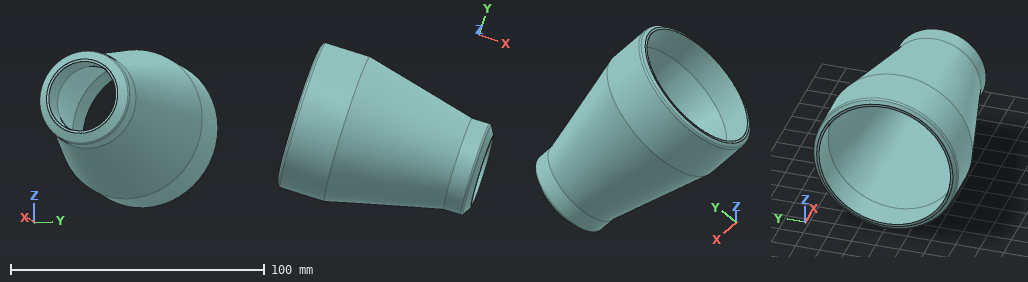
import cadquery as cq
import math

length = 76.0
large_outer_diameter = 60.3
large_bore_diameter = 54.5
small_outer_diameter = 38.0
small_bore_diameter = 28.0
large_collar_length = 20.0
small_collar_length = 10.0
large_bore_length = 12.0

land_width = 1.0
bevel_angle = 30.0
bevel_edge_radius = 1.0

large_outer_radius = large_outer_diameter / 2
large_bore_radius = large_bore_diameter / 2
small_outer_radius = small_outer_diameter / 2
small_bore_radius = small_bore_diameter / 2
small_collar_start = length - small_collar_length


def bevel_end(end_x, inward, outer_radius, bore_radius):
    """Profile points from the flat land to the collar, with a rounded bevel edge.

    inward is +1 or -1, the X direction from the end face into the part.
    Returns the land edge, then the start, middle and end of the rounding arc.
    """
    angle = math.radians(bevel_angle)
    land_radius = bore_radius + land_width
    bevel_length = (outer_radius - land_radius) * math.tan(angle)
    turn = math.pi / 2 - angle
    tangent_length = bevel_edge_radius * math.tan(turn / 2)
    arc_center_depth = bevel_length + tangent_length
    arc_center_radius = outer_radius - bevel_edge_radius

    def arc_point(rotation):
        depth = arc_center_depth - bevel_edge_radius * math.sin(rotation)
        radius = arc_center_radius + bevel_edge_radius * math.cos(rotation)
        return (end_x + inward * depth, radius)

    land_edge = (end_x, land_radius)
    return land_edge, arc_point(turn), arc_point(turn / 2), arc_point(0)


large_land, large_arc_start, large_arc_middle, large_arc_end = bevel_end(
    0, 1, large_outer_radius, large_bore_radius
)
small_land, small_arc_start, small_arc_middle, small_arc_end = bevel_end(
    length, -1, small_outer_radius, small_bore_radius
)

wall_section = (
    cq.Workplane("XY")
    .moveTo(0, large_bore_radius)
    .lineTo(*large_land)
    .lineTo(*large_arc_start)
    .threePointArc(large_arc_middle, large_arc_end)
    .lineTo(large_collar_length, large_outer_radius)
    .lineTo(small_collar_start, small_outer_radius)
    .lineTo(*small_arc_end)
    .threePointArc(small_arc_middle, small_arc_start)
    .lineTo(*small_land)
    .lineTo(length, small_bore_radius)
    .lineTo(small_collar_start, small_bore_radius)
    .lineTo(large_bore_length, large_bore_radius)
    .close()
)

result = wall_section.revolve(360, (0, 0, 0), (1, 0, 0))